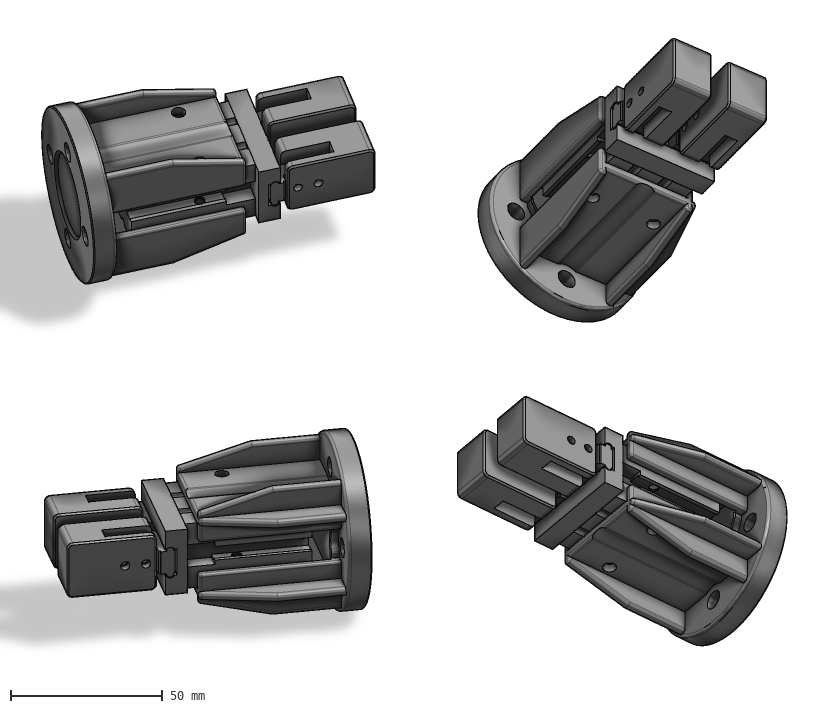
import cadquery as cq
import math


flange_radius = 30.0
flange_thickness = 8.0
flange_front_chamfer = 0.4
flange_back_fillet = 1.0
recess_radius = 15.0
recess_chamfer = 1.0
screw_circle_radius = 20.0
screw_hole_radius = 3.3
screw_access_radius = 6.0

housing_half_width = 18.5
housing_half_height = 15.0
housing_end = 56.0
housing_edge_fillet = 1.0
cavity_floor = 11.0
window_half_height = 5.8
window_foot_chamfer = 0.4
fixing_hole_x = 12.0
fixing_hole_y = 41.8
fixing_hole_radius = 2.3

rib_thickness = 3.0
rib_bend = 31.0
rib_slope = 15.0
side_rib_reach = 26.1
upright_rib_reach = 23.5
rib_depth = 20.1

body_half_width = 15.4
body_half_height = 11.8
body_start = 17.3
head_start = 60.0
head_end = 67.4
head_half_width = 19.2
head_half_height = 11.7
side_groove_floor = 10.0
entry_half_height = 4.1
entry_start = 49.9
lip_half_height = 2.5
lip_depth = 1.4
inner_groove_half_height = 3.0
body_flute_radius = 1.6
body_flute_x = 5.9
body_hole_radius = 1.7
body_thread_radius = 2.0
body_thread_depth = 8.0

slide_floor = 63.4
slide_half_height = 4.8
track_y = 65.7
track_radius = 1.5

finger_half_height = 4.1
finger_inner_x = 3.2
finger_outer_x = 18.9
finger_start = 64.1
finger_shoulder = 68.8
finger_top = 69.5
finger_inset = 0.7
finger_ridge_radius = 1.3
bar_inner_x = 10.5
bar_outer_x = 15.4
bar_end = 84.5
bar_root_fillet = 0.3

pad_inner_x = 3.3
pad_outer_x = 18.5
pad_start = 70.1
pad_end = 100.3
pad_half_height = 10.0
pad_corner_fillet = 2.0
pad_edge_chamfer = 0.6
pad_slot_end = 87.0
pin_hole_ys = (73.7, 80.7)
pad_hole_radius = 1.5
bar_hole_radius = 1.2


def block(x_range, y_range, z_half):
    """Box between two X values and two Y values, centred on Z = 0."""
    (x0, x1), (y0, y1) = x_range, y_range
    return cq.Workplane("XY").box(x1 - x0, y1 - y0, 2 * z_half).translate(((x0 + x1) / 2, (y0 + y1) / 2, 0))


def rod_y(x, z, radius, start, end):
    """Cylinder parallel to Y."""
    return cq.Workplane(cq.Solid.makeCylinder(radius, end - start, cq.Vector(x, start, z), cq.Vector(0, 1, 0)))


def rod_x(y, z, radius, start, end):
    """Cylinder parallel to X."""
    return cq.Workplane(cq.Solid.makeCylinder(radius, end - start, cq.Vector(start, y, z), cq.Vector(1, 0, 0)))


def rod_z(x, y, radius, half_length):
    """Cylinder parallel to Z, centred on Z = 0."""
    return cq.Workplane("XY").center(x, y).circle(radius).extrude(half_length, both=True)


def mirror_x(shape):
    return shape.mirror("YZ")


def make_flange():
    flange = rod_y(0, 0, flange_radius, 0, flange_thickness)
    flange = flange.faces(">Y").edges().fillet(flange_back_fillet)
    flange = flange.faces("<Y").edges().chamfer(flange_front_chamfer)
    recess = cq.Solid.makeCone(
        recess_radius, recess_radius - recess_chamfer, recess_chamfer, cq.Vector(0, 0, 0), cq.Vector(0, 1, 0)
    )
    return flange.cut(cq.Workplane(recess))


def make_rib(reach):
    """Rib lying on Z = 0 that points to -X, with a round tip that slopes inwards past the bend."""
    tip_radius = rib_thickness / 2
    tip_axis = tip_radius - reach
    slab = block((tip_axis, rib_depth - reach), (-housing_end, 2 * housing_end), tip_radius)
    slab = slab.union(rod_y(tip_axis, 0, tip_radius, -housing_end, 2 * housing_end))
    sloped_slab = slab.rotate((-reach, rib_bend, 0), (-reach, rib_bend, 1), -rib_slope)
    span = block((-reach, 0), (flange_thickness / 2, housing_end), tip_radius)
    return slab.intersect(sloped_slab).intersect(span)


def add_ribs(housing):
    side_rib = make_rib(side_rib_reach)
    upright_rib = make_rib(upright_rib_reach).rotate((0, 0, 0), (0, 1, 0), 90)
    side_z = housing_half_height - rib_thickness / 2
    upright_x = housing_half_width - rib_thickness / 2
    for side in (-1, 1):
        housing = housing.union(side_rib.translate((0, 0, side * side_z)))
        upright = upright_rib.translate((side * upright_x, 0, 0))
        housing = housing.union(upright).union(upright.mirror("XY"))
    return housing


def cut_windows(housing):
    """Open both side walls along the gripper body, down to the flange, and round the outer edges."""
    for side in (-1, 1):
        wall = sorted((side * body_half_width, side * 2 * housing_half_width))
        housing = housing.cut(block(wall, (flange_thickness, 2 * housing_end), window_half_height))
    return round_window_edges(housing, housing_half_width)


def round_window_edges(housing, wall_x):
    """Fillet the long edges of both windows, on the wall faces at X = -wall_x and X = wall_x."""
    for x_side in (-1, 1):
        for z_side in (-1, 1):
            edge_point = (x_side * wall_x, (cavity_floor + housing_end) / 2, z_side * window_half_height)
            edge = housing.edges("|Y").edges(cq.selectors.NearestToPointSelector(edge_point))
            housing = edge.fillet(housing_edge_fillet)
    return housing


def chamfer_window_feet(housing):
    """Chamfer the outer edge of the cavity floor at the foot of each window."""
    for side in (-1, 1):
        near = side * (screw_circle_radius - screw_access_radius - housing_edge_fillet)
        far = side * housing_half_width
        foot_box = cq.selectors.BoxSelector(
            (near, cavity_floor - window_foot_chamfer, -window_half_height + window_foot_chamfer),
            (far, cavity_floor + window_foot_chamfer, window_half_height - window_foot_chamfer),
        )
        housing = housing.edges(foot_box).chamfer(window_foot_chamfer)
    return housing


def make_screw_groove(face):
    """Cutter for the round groove that lets a flange screw in on the +Z side.

    The groove opens in a face at height `face`, with its two mouth edges rounded.
    """
    fillet = housing_edge_fillet
    reach = screw_access_radius + fillet
    depth = screw_circle_radius - (face - fillet)
    mouth_x = math.sqrt(reach**2 - depth**2)
    tilt = math.atan2(depth, mouth_x)

    def on_fillet(angle):
        return (mouth_x - fillet * math.cos(angle), face - fillet + fillet * math.sin(angle))

    def mirrored(point):
        return (-point[0], point[1])

    middle = on_fillet((tilt + math.pi / 2) / 2)
    joint = on_fillet(tilt)
    bottom = (0, screw_circle_radius - screw_access_radius)
    profile = (
        cq.Workplane("XZ", origin=(0, flange_thickness, 0))
        .moveTo(mouth_x, screw_circle_radius)
        .lineTo(mouth_x, face)
        .threePointArc(middle, joint)
        .threePointArc(bottom, mirrored(joint))
        .threePointArc(mirrored(middle), (-mouth_x, face))
        .lineTo(-mouth_x, screw_circle_radius)
        .close()
    )
    return profile.extrude(-housing_end).union(
        rod_y(0, screw_circle_radius, screw_access_radius, flange_thickness, flange_thickness + housing_end)
    )


def cut_screw_grooves(housing):
    """Grooves in the top and bottom faces, and in the foot of each window."""
    for face, first_turn in ((housing_half_height, 0), (body_half_width, 90)):
        groove = make_screw_groove(face)
        for turn in (first_turn, first_turn + 180):
            housing = housing.cut(groove.rotate((0, 0, 0), (0, 1, 0), turn))
    return housing


def make_housing():
    core = block((-housing_half_width, housing_half_width), (flange_thickness / 2, housing_end), housing_half_height)
    housing = add_ribs(core)
    housing = housing.faces(">Y").edges().fillet(housing_edge_fillet)
    housing = cut_windows(housing)
    cavity = block((-body_half_width, body_half_width), (cavity_floor, 2 * housing_end), body_half_height)
    housing = cut_screw_grooves(housing.cut(cavity))
    housing = chamfer_window_feet(housing)
    housing = round_window_edges(housing, body_half_width)
    housing = housing.union(make_flange())
    for x, z in ((1, 0), (-1, 0), (0, 1), (0, -1)):
        screw_hole = rod_y(
            x * screw_circle_radius, z * screw_circle_radius, screw_hole_radius, 0, flange_thickness
        )
        housing = housing.cut(screw_hole)
    for side in (-1, 1):
        housing = housing.cut(rod_z(side * fixing_hole_x, fixing_hole_y, fixing_hole_radius, 2 * housing_half_height))
    return housing


def make_side_groove():
    """T-slot along the -X side of the gripper body, with a wide entry at the head."""
    entry = block((-body_half_width, -side_groove_floor), (entry_start, head_start), entry_half_height)
    mouth = block((-body_half_width, -side_groove_floor), (body_start, head_start), lip_half_height)
    inner = block((lip_depth - body_half_width, -side_groove_floor), (body_start, head_start), inner_groove_half_height)
    return entry.union(mouth).union(inner)


def make_slide_groove():
    """Groove across the head for both fingers, with a round ball track in each wall."""
    groove = block((-head_half_width, head_half_width), (slide_floor, head_end), slide_half_height)
    for side in (-1, 1):
        track = rod_x(track_y, side * finger_half_height, track_radius, -head_half_width, head_half_width)
        groove = groove.union(track)
    return groove


def make_gripper_body():
    body = block((-body_half_width, body_half_width), (body_start, head_start), body_half_height)
    for x in (-body_flute_x, body_flute_x):
        for z in (-body_half_height, body_half_height):
            body = body.cut(rod_y(x, z, body_flute_radius, body_start, head_start))
    body = body.cut(make_side_groove()).cut(mirror_x(make_side_groove()))
    for side in (-1, 1):
        hole_x = side * fixing_hole_x
        thread = rod_z(hole_x, fixing_hole_y, body_thread_radius, body_half_height)
        thread = thread.cut(rod_z(hole_x, fixing_hole_y, body_thread_radius, body_half_height - body_thread_depth))
        body = body.cut(rod_z(hole_x, fixing_hole_y, body_hole_radius, body_half_height)).cut(thread)
    head = block((-head_half_width, head_half_width), (head_start, head_end), head_half_height)
    return body.union(head.cut(make_slide_groove()))


def make_finger():
    """Finger on the +X side: a slider with ball ridges, a stepped shoulder and a flat bar."""
    slider = block((finger_inner_x, finger_outer_x), (finger_start, finger_shoulder), finger_half_height)
    for side in (-1, 1):
        ridge = rod_x(track_y, side * finger_half_height, finger_ridge_radius, finger_inner_x, finger_outer_x)
        slider = slider.union(ridge)
    shoulder_x = (finger_inner_x + finger_inset, finger_outer_x - finger_inset)
    finger = slider.union(block(shoulder_x, (finger_shoulder, finger_top), finger_half_height))
    finger = finger.union(block((bar_inner_x, bar_outer_x), (finger_top, bar_end), finger_half_height))
    for x in (bar_inner_x, bar_outer_x):
        root = finger.edges("|Z").edges(cq.selectors.NearestToPointSelector((x, finger_top, 0)))
        finger = root.fillet(bar_root_fillet)
    for y in pin_hole_ys:
        finger = finger.cut(rod_x(y, 0, bar_hole_radius, finger_inner_x, finger_outer_x))
    return finger


def make_pad():
    """Pad on the +X side, slotted to fit over the bar of its finger."""
    pad = block((pad_inner_x, pad_outer_x), (pad_start, pad_end), pad_half_height)
    pad = pad.edges("|X").fillet(pad_corner_fillet)
    pad = pad.faces("<X or >X").edges().chamfer(pad_edge_chamfer)
    pad = pad.cut(block((bar_inner_x, bar_outer_x), (0, pad_slot_end), 2 * pad_half_height))
    for y in pin_hole_ys:
        pad = pad.cut(rod_x(y, 0, pad_hole_radius, pad_inner_x, pad_outer_x))
    return pad


housing = make_housing()
gripper_body = make_gripper_body()
bodies = [housing, gripper_body]
for make_jaw_part in (make_finger, make_pad):
    bodies.append(make_jaw_part())
    bodies.append(mirror_x(make_jaw_part()))

result = cq.Compound.makeCompound([body.val() for body in bodies])